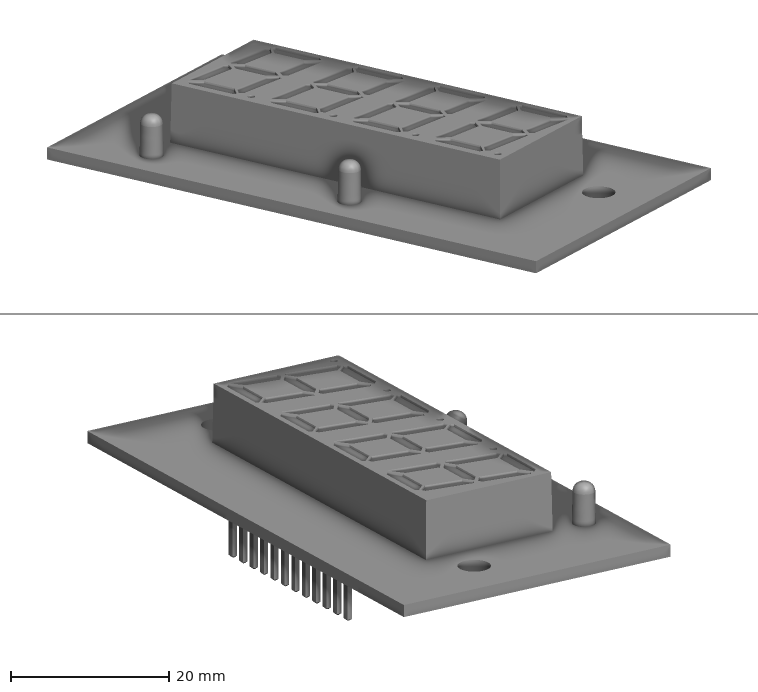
import cadquery as cq
import math

board_length = 74.0
board_width = 40.0
board_thickness = 1.6
mount_hole_diameter = 4.2
mount_hole_x = 30.0
mount_hole_y = 4.95

draft = 1.0

display_length = 49.95
display_width = 19.0
display_height = 8.0
display_y = -0.5

digit_count = 4
digit_pitch = 12.4
digit_row_x = 0.1
digit_y = -0.15
digit_slant = math.tan(math.radians(8.0))
recess_depth = 0.3
recess_draft = 15.0
upper_height = 8.2
lower_height = 8.65
digit_half_width = 4.4
stroke = 1.8
end_bar_blunt_x = 3.55
end_bar_sharp_x = 3.1
end_bar_tip_x = 3.8
end_bar_inner_x = 2.3
side_bar_tip_x = 3.85
side_bar_inner_gap = 1.2
side_bar_tip_gap = 0.3
side_bar_outer_gap = 0.6
middle_bar_point = 1.2
end_bar_sharp_drop = 0.6
end_bar_blunt_drop = 0.4
left_outer_drop = 0.95
left_tip_drop = 0.7
left_inner_drop = 1.9
right_tip_drop = 1.2
right_inner_drop = 2.3
upper_corner_drop = 0.8
lower_corner_drop = 1.4
point_diameter = 0.95
point_offset_x = 4.7
point_offset_y = -8.15

lamp_diameter = 3.0
lamp_height = 5.55
lamp_rounding = 1.25
lamp_y = -15.0
lamp_xs = (-24.5, 5.5)

connector_length = 30.0
connector_front_y = 10.1
connector_back_y = 14.9
connector_height = 3.4
ridge_height = 1.5
ridge_depth = 0.45
ridge_rise = 0.2

pin_count = 12
pin_pitch = 2.45
pin_width = 0.9
pin_depth = 0.7
pin_length = 5.85
pin_chamfer = 0.2
pin_y = 13.3


def make_board():
    board = cq.Workplane("XY").rect(board_length, board_width).extrude(-board_thickness)
    hole_centers = [(-mount_hole_x, mount_hole_y), (mount_hole_x, mount_hole_y)]
    holes = cq.Workplane("XY").pushPoints(hole_centers).circle(mount_hole_diameter / 2)
    return board.cut(holes.extrude(-board_thickness))


def half_digit_segments(height, corner_drop):
    """Upright outlines of the end bar and both side bars above the digit's middle.

    corner_drop is how far the right bar's outer corner lies below the end of the digit.
    """
    outer_x = digit_half_width
    inner_x = outer_x - stroke
    end_bar = [
        (-end_bar_blunt_x, height),
        (end_bar_sharp_x, height),
        (end_bar_tip_x, height - end_bar_sharp_drop),
        (end_bar_inner_x, height - stroke),
        (-end_bar_inner_x, height - stroke),
        (-end_bar_tip_x, height - end_bar_blunt_drop),
    ]
    left_bar = [
        (-outer_x, height - left_outer_drop),
        (-side_bar_tip_x, height - left_tip_drop),
        (-inner_x, height - left_inner_drop),
        (-inner_x, side_bar_inner_gap),
        (-side_bar_tip_x, side_bar_tip_gap),
        (-outer_x, side_bar_outer_gap),
    ]
    right_bar = [
        (outer_x, height - corner_drop),
        (side_bar_tip_x, height - right_tip_drop),
        (inner_x, height - right_inner_drop),
        (inner_x, side_bar_inner_gap),
        (side_bar_tip_x, side_bar_tip_gap),
        (outer_x, side_bar_outer_gap),
    ]
    return [end_bar, left_bar, right_bar]


def digit_segments():
    """Outlines of the seven bars; the lower half is the upper half turned half a turn."""
    tip_x = digit_half_width - stroke / 2
    shoulder_x = tip_x - middle_bar_point
    middle_bar = [
        (-tip_x, 0),
        (-shoulder_x, stroke / 2),
        (shoulder_x, stroke / 2),
        (tip_x, 0),
        (shoulder_x, -stroke / 2),
        (-shoulder_x, -stroke / 2),
    ]
    upper = half_digit_segments(upper_height, upper_corner_drop)
    turned = half_digit_segments(lower_height, lower_corner_drop)
    lower = [[(-x, -y) for x, y in outline] for outline in turned]
    return upper + [middle_bar] + lower


def digit_cutter(center_x):
    face = cq.Workplane("XY", origin=(center_x, digit_y, display_height))
    point = face.center(point_offset_x, point_offset_y).circle(point_diameter / 2)
    cutter = point.extrude(-recess_depth, taper=recess_draft)
    for outline in digit_segments():
        slanted = [(x + digit_slant * y, y) for x, y in outline]
        cutter = cutter.add(face.polyline(slanted).close().extrude(-recess_depth, taper=recess_draft))
    return cutter.combine()


def make_display():
    base = cq.Workplane("XY").center(0, display_y).rect(display_length, display_width)
    display = base.extrude(display_height, taper=draft)
    for index in range(digit_count):
        center_x = digit_row_x + (index - (digit_count - 1) / 2) * digit_pitch
        display = display.cut(digit_cutter(center_x))
    return display


def make_lamps():
    bases = cq.Workplane("XY").pushPoints([(x, lamp_y) for x in lamp_xs]).circle(lamp_diameter / 2)
    return bases.extrude(lamp_height, taper=draft).faces(">Z").edges().fillet(lamp_rounding)


def make_connector():
    top_z = -board_thickness
    bottom_z = top_z - connector_height
    ridge_bottom_z = bottom_z + ridge_rise
    return (
        cq.Workplane("YZ", origin=(-connector_length / 2, 0, 0))
        .moveTo(connector_front_y, top_z)
        .lineTo(connector_back_y, top_z)
        .lineTo(connector_back_y, ridge_bottom_z + ridge_height)
        .threePointArc(
            (connector_back_y + ridge_depth, ridge_bottom_z + ridge_height / 2),
            (connector_back_y, ridge_bottom_z),
        )
        .lineTo(connector_back_y, bottom_z)
        .lineTo(connector_front_y, bottom_z)
        .close()
        .extrude(connector_length)
    )


def make_pins():
    top_z = -board_thickness - connector_height
    return (
        cq.Workplane("XY", origin=(0, pin_y, top_z))
        .rarray(pin_pitch, 0.75, pin_count, 1)
        .rect(pin_width, pin_depth)
        .extrude(-pin_length)
        .faces("<Z").edges().chamfer(pin_chamfer)
    )


result = make_board()
for piece in (make_display(), make_lamps(), make_connector(), make_pins()):
    result = result.union(piece)